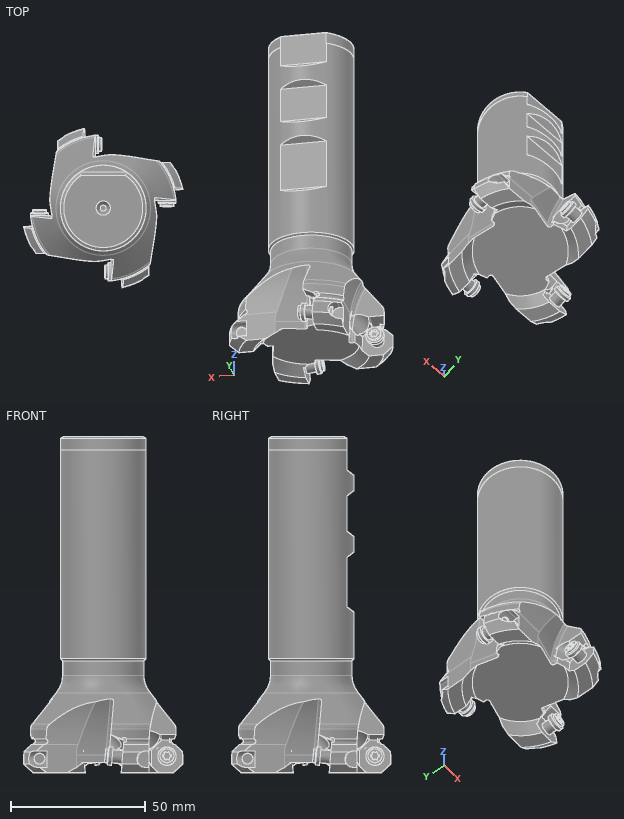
import cadquery as cq
import math

overall_length = 125.37
shank_radius = 16.0
shank_bottom = 42.5
end_chamfer_height = 0.7
end_chamfer_width = 1.25
end_land_length = 5.0
end_land_relief = 0.03
center_radius = 2.65
center_pilot_radius = 1.1
center_pilot_depth = 6.0
center_half_angle = 30.0

flat_y = 13.4
flat_overrun = 3.0
flat_spans = [(61.8, 80.3), (90.0, 103.2), (112.8, overall_length + flat_overrun)]
flat_end_run = 2.0

neck_radius = 15.2
neck_top = 41.7
flare_top = 36.3
flare_radius = 10.0
cone_half_angle = 40.7
cone_end_radius = 27.3
cone_end_height = 17.4
cone_end_fillet = 3.0
groove_top = 12.6
groove_bottom = 10.55
groove_radius = 26.75
groove_exit_radius = 27.8
rim_radius = 30.505
rim_top = 7.8
rim_bottom = 3.25
rim_chamfer_width = 3.5
underside_radius = 21.7
underside_depth = 3.8

tooth_count = 4
axial_rake = 5.0
cut_reach = 45.0
cut_bottom = -1.0
gullet_top = 36.0
gullet_curve_radius = 44.0
tooth_back_x = 17.0
tooth_back_top = 10.5
hub_wall_x = 14.4
hub_wall_top = 6.7
hub_wall_turn = 14.5
gullet_fillet = 1.0
chip_face_y = 1.55
seat_y = 6.65
seat_inner_x = 17.9
seat_bevel_distance = 6.0
seat_depth = 5.3
seat_ceiling = 12.2
seat_wall_flare = 18.0
corner_groove_radius = 0.95
corner_groove_start = 24.7
relief_radius = 4.2
relief_slope = 30.0
relief_tip = (20.4, 9.4)
back_slot_radius = 3.0
back_slot_z = 5.05
back_slot_y = 12.6
back_slot_x = 21.0

screw_x = 23.75
screw_seat_z = 5.8
head_height_over_seat = 6.5
screw_length = 12.2
thread_hole_length = 13.5
screw_face_radius = 2.6
screw_face_height = 0.9
screw_collar_radius = 3.4
screw_collar_start = 1.2
screw_collar_end = 2.7
screw_stem_radius = 2.5
screw_thread_radius = 2.0
socket_depth = 1.3
socket_core_radius = 1.25
socket_lobe_radius = 0.4
socket_lobes = 6

rake_tangent = math.tan(math.radians(axial_rake))


def tilted_y(y_at_bottom, z):
    """Tangential place of a raked face at height z."""
    return y_at_bottom + z * rake_tangent


def make_blank():
    """Shank and head turned as one piece."""
    slope = math.radians(cone_half_angle)
    half = slope / 2
    flare_x = neck_radius + flare_radius * (1 - math.cos(slope))
    flare_mid_x = neck_radius + flare_radius * (1 - math.cos(half))
    flare_bottom = flare_top - flare_radius * math.sin(slope)
    flare_mid = flare_top - flare_radius * math.sin(half)
    cone_trim = cone_end_fillet * math.tan(half)
    fillet_center_x = cone_end_radius - cone_end_fillet
    fillet_bottom = cone_end_height - cone_trim
    fillet_x = fillet_center_x + cone_end_fillet * math.cos(slope)
    fillet_top = fillet_bottom + cone_end_fillet * math.sin(slope)
    fillet_mid_x = fillet_center_x + cone_end_fillet * math.cos(half)
    fillet_mid = fillet_bottom + cone_end_fillet * math.sin(half)
    land_radius = shank_radius - end_land_relief
    land_bottom = overall_length - end_land_length
    return (
        cq.Workplane("XZ")
        .moveTo(0, underside_depth)
        .lineTo(underside_radius - underside_depth, underside_depth)
        .lineTo(underside_radius, 0)
        .lineTo(rim_radius - rim_chamfer_width, 0)
        .lineTo(rim_radius, rim_bottom)
        .lineTo(rim_radius, rim_top)
        .lineTo(groove_exit_radius, groove_bottom)
        .threePointArc((groove_radius, (groove_top + groove_bottom) / 2), (cone_end_radius, groove_top))
        .lineTo(cone_end_radius, fillet_bottom)
        .threePointArc((fillet_mid_x, fillet_mid), (fillet_x, fillet_top))
        .lineTo(flare_x, flare_bottom)
        .threePointArc((flare_mid_x, flare_mid), (neck_radius, flare_top))
        .lineTo(neck_radius, neck_top)
        .lineTo(shank_radius, shank_bottom)
        .lineTo(shank_radius, land_bottom)
        .lineTo(land_radius, land_bottom)
        .lineTo(land_radius, overall_length)
        .lineTo(0, overall_length)
        .close()
        .revolve(360, (0, 0, 0), (0, 1, 0))
    )


def finish_shank(body):
    """Flats with sloping ends, leaving raised lands between them, and the chamfer of the shank end."""
    rise = shank_radius - flat_y
    for low, high in flat_spans:
        flat = (
            cq.Workplane("YZ")
            .polyline([
                (flat_y, low),
                (flat_y, high),
                (shank_radius + rise, high + 2 * flat_end_run),
                (shank_radius + rise, low - 2 * flat_end_run),
            ])
            .close()
            .extrude(shank_radius, both=True)
        )
        body = body.cut(flat)
    return body.faces(">Z").chamfer(end_chamfer_height, end_chamfer_width)


def cut_center_hole(body):
    """Conical centre in the shank end, with its pilot hole."""
    cone_depth = (center_radius - center_pilot_radius) / math.tan(math.radians(center_half_angle))
    tool = (
        cq.Workplane("XZ")
        .polyline([
            (0, overall_length),
            (center_radius, overall_length),
            (center_pilot_radius, overall_length - cone_depth),
            (center_pilot_radius, overall_length - cone_depth - center_pilot_depth),
            (0, overall_length - cone_depth - center_pilot_depth),
        ])
        .close()
        .revolve(360, (0, 0, 0), (0, 1, 0))
    )
    return body.cut(tool)


def curved_wall_tool(wall_x, wall_top):
    """Everything outside a wall that is upright up to wall_top and then curves outward."""
    sweep = math.asin((gullet_top - wall_top) / gullet_curve_radius)
    end_x = wall_x + gullet_curve_radius * (1 - math.cos(sweep))
    mid_x = wall_x + gullet_curve_radius * (1 - math.cos(sweep / 2))
    mid_z = wall_top + gullet_curve_radius * math.sin(sweep / 2)
    return (
        cq.Workplane("XZ")
        .moveTo(wall_x, cut_bottom)
        .lineTo(wall_x, wall_top)
        .threePointArc((mid_x, mid_z), (end_x, gullet_top))
        .lineTo(cut_reach, gullet_top)
        .lineTo(cut_reach, cut_bottom)
        .close()
        .extrude(cut_reach, both=True)
    )


def rake_side(y_at_bottom):
    """Block on the open side of a raked plane."""
    return (
        cq.Workplane("YZ")
        .polyline([
            (-cut_reach, cut_bottom),
            (tilted_y(y_at_bottom, cut_bottom), cut_bottom),
            (tilted_y(y_at_bottom, gullet_top), gullet_top),
            (-cut_reach, gullet_top),
        ])
        .close()
        .extrude(cut_reach)
    )


def make_gullet():
    """Chip space: the back of the tooth before it, the hub wall and the chip face."""
    chip_side = rake_side(chip_face_y)
    tooth_back = curved_wall_tool(tooth_back_x, tooth_back_top).intersect(chip_side)
    hub_wall = (
        curved_wall_tool(hub_wall_x, hub_wall_top)
        .rotate((hub_wall_x, 0, 0), (hub_wall_x, 0, 1), hub_wall_turn)
        .intersect(chip_side)
    )
    wall_to_chip_face = cq.selectors.BoxSelector(
        (0, 0, 0), (tooth_back_x + gullet_fillet, seat_y, gullet_top - gullet_fillet)
    )
    hub_wall = hub_wall.edges(wall_to_chip_face).fillet(gullet_fillet)
    return hub_wall.union(tooth_back)


def make_seat_pocket():
    """Insert seat whose ceiling, bevelled corner and inner wall flare out from the raked floor."""
    rake = math.radians(axial_rake)
    floor = cq.Plane(
        origin=(0, seat_y, 0), xDir=(1, 0, 0), normal=(0, -math.cos(rake), math.sin(rake))
    )
    bevel_offset = screw_seat_z - screw_x + seat_bevel_distance * math.sqrt(2)
    return (
        cq.Workplane(floor)
        .polyline([
            (seat_inner_x, cut_bottom),
            (cut_reach, cut_bottom),
            (cut_reach, seat_ceiling),
            (seat_ceiling - bevel_offset, seat_ceiling),
            (seat_inner_x, seat_inner_x + bevel_offset),
        ])
        .close()
        .extrude(seat_depth, taper=-seat_wall_flare)
    )


def make_corner_groove():
    """Radial groove along the outer end of the corner between seat and ceiling."""
    return (
        cq.Workplane("YZ")
        .workplane(offset=corner_groove_start)
        .center(tilted_y(seat_y, seat_ceiling), seat_ceiling)
        .circle(corner_groove_radius)
        .extrude(cut_reach - corner_groove_start)
    )


def make_corner_relief():
    """Inclined bore from the chip face into the inner upper corner of the seat."""
    slope = math.radians(relief_slope)
    along = math.cos(slope) / math.sqrt(2)
    across = math.sin(slope) / math.sqrt(2)
    axis = cq.Vector(-along, -math.sin(slope), along)
    normal = cq.Vector(across, -math.cos(slope), -across)
    tip_x, tip_z = relief_tip
    deepest = cq.Vector(tip_x, tilted_y(seat_y, tip_z), tip_z)
    start = deepest + normal * relief_radius
    bore = cq.Workplane(cq.Solid.makeCylinder(relief_radius, 4 * relief_radius, start, axis))
    return bore.cut(rake_side(chip_face_y))


def make_back_slot():
    """Round-bottomed radial slot in the back of the tooth, at the screw tip."""
    center_y = back_slot_y + back_slot_radius
    length = cut_reach - back_slot_x
    bottom = (
        cq.Workplane("YZ")
        .workplane(offset=back_slot_x)
        .center(center_y, back_slot_z)
        .circle(back_slot_radius)
        .extrude(length)
    )
    width = 2 * back_slot_radius
    mouth = cq.Workplane().box(length, width, width, centered=(False, False, True))
    return bottom.union(mouth.translate((back_slot_x, center_y, back_slot_z)))


def make_screw_blank(length):
    """Insert screw without its socket, its axis along +Y from the head face."""
    profile = [
        (0, 0),
        (screw_face_radius, 0),
        (screw_face_radius, screw_face_height),
        (screw_collar_radius, screw_collar_start),
        (screw_collar_radius, screw_collar_end),
        (screw_stem_radius, screw_collar_end),
        (screw_stem_radius, head_height_over_seat),
        (screw_thread_radius, head_height_over_seat),
        (screw_thread_radius, length),
        (0, length),
    ]
    return cq.Workplane("XY").polyline(profile).close().revolve(360, (0, 0, 0), (0, 1, 0))


def make_socket():
    """Six-lobed drive socket in the screw head."""
    socket = cq.Workplane("XZ").circle(socket_core_radius).extrude(-socket_depth)
    lobes = (
        cq.Workplane("XZ")
        .polarArray(socket_core_radius, 0, 360, socket_lobes)
        .circle(socket_lobe_radius)
        .extrude(-socket_depth)
    )
    return socket.union(lobes)


def place_screw(screw):
    """Square to the raked seat, with the shoulder resting on it."""
    return (
        screw.translate((0, -head_height_over_seat, 0))
        .rotate((0, 0, 0), (1, 0, 0), -axial_rake)
        .translate((screw_x, tilted_y(seat_y, screw_seat_z), screw_seat_z))
    )


def at_tooth(shape, index):
    return shape.rotate((0, 0, 0), (0, 0, 1), index * 360 / tooth_count)


screw_hole = place_screw(make_screw_blank(thread_hole_length))
screw = place_screw(make_screw_blank(screw_length).cut(make_socket()))
tooth_cuts = [
    make_gullet(),
    make_seat_pocket(),
    make_corner_groove(),
    make_corner_relief(),
    make_back_slot(),
    screw_hole,
]

cutter = cut_center_hole(finish_shank(make_blank()))
screws = []
for tooth in range(tooth_count):
    for tooth_cut in tooth_cuts:
        cutter = cutter.cut(at_tooth(tooth_cut, tooth))
    screws.append(at_tooth(screw, tooth))

result = cq.Compound.makeCompound([cutter.val()] + [each.val() for each in screws])